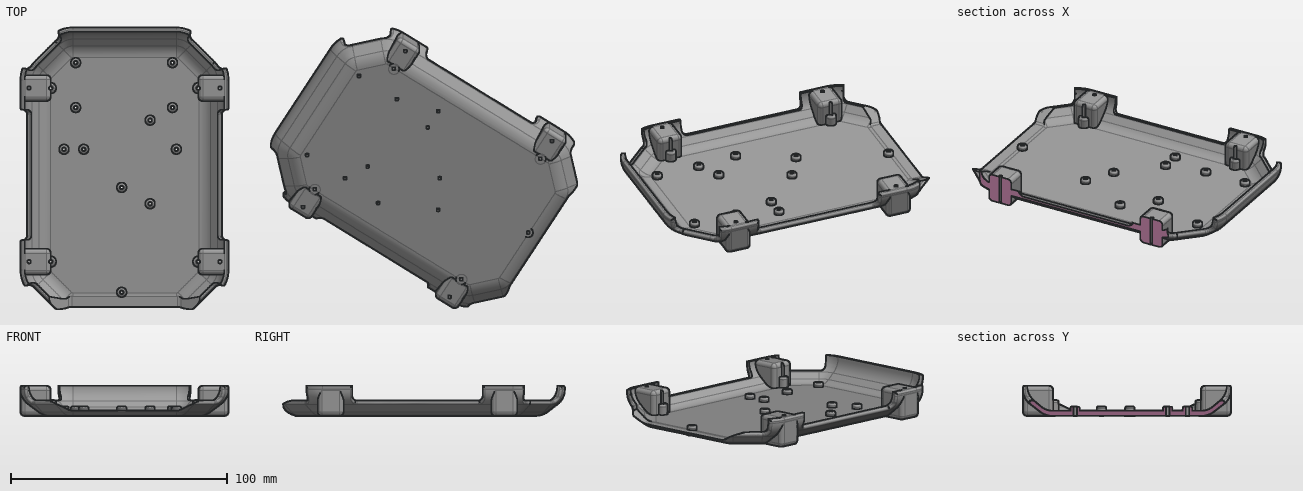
import cadquery as cq
import math

HALF_WIDTH = 48.0
HALF_LENGTH = 68.0
HEIGHT = 14.0
FLOOR_THICKNESS = 2.5
WALL_THICKNESS = 2.0
WALL_REACH = 13.7
OUTER_LOW_RADIUS = 9.5
INNER_LOW_RADIUS = 8.2
OUTER_HIGH_RADIUS = 8.5
INNER_HIGH_RADIUS = 9.1
OUTER_BEND_TOP = 12.25
FLOOR_CORNER_ROUND = 1.0
CORNER_CUT = 9.5

RIM_HEIGHT = 7.2
RIM_ROUND = 1.0
NOTCH_ROUND = 2.0
SIDE_NOTCH_HALF = 30.0
REAR_END_ANGLE = 29.0
REAR_TAB_ANGLE = 23.0
FRONT_TAB_ANGLE = 32.0

FRONT_LIP_HEIGHT = 2.65
FRONT_SILL_HALF = 25.2
FRONT_MOUTH_HALF = 34.7
FRONT_SILL_ROUND = 3.7

POST_X = 44.0
POST_Y = 40.0
POST_INNER_X = 34.0
POST_WIDTH = 12.0
POST_ROUND = 2.0

HOLE_DIAMETER = 1.5
BOSS_DIAMETER = 4.5
BOSS_TOP = 4.5
BOSS_ROUND = 1.0
POST_BOSS_DIAMETER = 5.0
POST_BOSS_TOP = 7.4
BOSS_CENTRES = [
    (-22.5, 51.7), (22.1, 51.7),
    (-22.5, 31.0), (22.1, 31.0),
    (11.8, 25.2),
    (-27.9, 11.8), (-18.8, 11.8), (23.9, 11.8),
    (-1.3, -5.8), (11.8, -13.3), (-1.3, -54.1),
]

CORE_REACH = WALL_REACH + FLOOR_CORNER_ROUND
CORE_X = HALF_WIDTH - CORE_REACH
CORE_Y = HALF_LENGTH - CORE_REACH
CLEAR = 30.0
TOLERANCE = 0.001

SHORT_X = CORE_X - CORNER_CUT
SHORT_Y = CORE_Y - CORNER_CUT
CORE_CORNERS = [
    (SHORT_X, CORE_Y), (-SHORT_X, CORE_Y),
    (-CORE_X, SHORT_Y), (-CORE_X, -SHORT_Y),
    (-SHORT_X, -CORE_Y), (SHORT_X, -CORE_Y),
    (CORE_X, -SHORT_Y), (CORE_X, SHORT_Y),
]
CORNER_TURN = 45.0


def skin_points(level, low_radius, reach, high_radius, bend_top):
    """Arc points of one wall skin: floor bend and upper bend, joined by their common tangent."""
    low_centre = (FLOOR_CORNER_ROUND, level + low_radius)
    high_centre = (reach - high_radius, bend_top)
    run = high_centre[0] - low_centre[0]
    rise = high_centre[1] - low_centre[1]
    slope = math.atan2(rise, run) + math.asin((low_radius - high_radius) / math.hypot(run, rise))

    def on_arc(centre, radius, turn):
        return (centre[0] + radius * math.sin(turn), centre[1] - radius * math.cos(turn))

    upright = math.pi / 2
    low_turns = (0, slope / 2, slope)
    high_turns = (slope, (slope + upright) / 2, upright)
    low = [on_arc(low_centre, low_radius, turn) for turn in low_turns]
    high = [on_arc(high_centre, high_radius, turn) for turn in high_turns]
    return low, high


def wall_profile(plane):
    """Wall section: x runs outward from the core octagon, y runs up."""
    inner_reach = CORE_REACH - WALL_THICKNESS
    outer_low, outer_high = skin_points(
        0, OUTER_LOW_RADIUS, CORE_REACH, OUTER_HIGH_RADIUS, OUTER_BEND_TOP
    )
    inner_low, inner_high = skin_points(
        FLOOR_THICKNESS, INNER_LOW_RADIUS, inner_reach, INNER_HIGH_RADIUS, HEIGHT
    )
    return (
        cq.Workplane(plane)
        .moveTo(0, 0)
        .lineTo(*outer_low[0])
        .threePointArc(*outer_low[1:])
        .lineTo(*outer_high[0])
        .threePointArc(*outer_high[1:])
        .lineTo(CORE_REACH, HEIGHT)
        .lineTo(*inner_high[2])
        .threePointArc(inner_high[1], inner_high[0])
        .lineTo(*inner_low[2])
        .threePointArc(inner_low[1], inner_low[0])
        .lineTo(0, FLOOR_THICKNESS)
        .close()
    )


def full_tray():
    """Floor with a full-height wall: straight runs joined by turned corners."""
    tray = cq.Workplane("XY").polyline(CORE_CORNERS).close().extrude(FLOOR_THICKNESS)
    for index, start in enumerate(CORE_CORNERS):
        end = CORE_CORNERS[(index + 1) % len(CORE_CORNERS)]
        run_x = end[0] - start[0]
        run_y = end[1] - start[1]
        length = math.hypot(run_x, run_y)
        outward = (run_y / length, -run_x / length, 0)
        along = (run_x / length, run_y / length, 0)
        back = (-along[0], -along[1], 0)
        run = wall_profile(cq.Plane((start[0], start[1], 0), outward, back)).extrude(-length)
        corner = wall_profile(cq.Plane((end[0], end[1], 0), outward, back)).revolve(
            CORNER_TURN, (0, 0, 0), (0, 1, 0)
        )
        tray = tray.union(run).union(corner)
    return tray


def past_wall(corner, angle):
    """Point well outside the wall, seen from a core corner at an angle from +X."""
    turn = math.radians(angle)
    return (corner[0] + CLEAR * math.cos(turn), corner[1] + CLEAR * math.sin(turn))


def notch(outline, rounded_sides):
    """Cutter that lowers the wall to rim height; the given outline sides get a rounded foot."""
    cutter = (
        cq.Workplane("XY")
        .workplane(offset=RIM_HEIGHT)
        .polyline(outline)
        .close()
        .extrude(HEIGHT)
    )
    for side in rounded_sides:
        a = outline[side]
        b = outline[(side + 1) % len(outline)]
        middle = ((a[0] + b[0]) / 2, (a[1] + b[1]) / 2, RIM_HEIGHT)
        cutter = cutter.edges(cq.NearestToPointSelector(middle)).fillet(NOTCH_ROUND)
    return cutter


def side_notch():
    outline = [
        (SHORT_X, -SIDE_NOTCH_HALF),
        (CORE_X + CLEAR, -SIDE_NOTCH_HALF),
        (CORE_X + CLEAR, SIDE_NOTCH_HALF),
        (SHORT_X, SIDE_NOTCH_HALF),
    ]
    return notch(outline, [0, 2])


def rear_corner_notch():
    side_corner = (CORE_X, SHORT_Y)
    rear_corner = (SHORT_X, CORE_Y)
    outline = [
        side_corner,
        past_wall(side_corner, REAR_TAB_ANGLE),
        past_wall(rear_corner, 90 - REAR_END_ANGLE),
        rear_corner,
    ]
    return notch(outline, [0, 2])


def front_notch():
    right = (CORE_X, -SHORT_Y)
    left = (-CORE_X, -SHORT_Y)
    far_right = past_wall(right, -FRONT_TAB_ANGLE)
    far_left = past_wall(left, FRONT_TAB_ANGLE - 180)
    front_y = -CORE_Y - CLEAR
    outline = [right, left, far_left, (far_left[0], front_y), (far_right[0], front_y), far_right]
    return notch(outline, [1, 5])


def lower_the_rim(tray):
    for cutter in (side_notch(), rear_corner_notch()):
        tray = tray.cut(cutter).cut(cutter.mirror("YZ"))
    return tray.cut(front_notch())


def core_distance(x, y):
    """Horizontal distance from a point outside the core octagon to its edge."""
    distances = []
    for index, (ax, ay) in enumerate(CORE_CORNERS):
        bx, by = CORE_CORNERS[(index + 1) % len(CORE_CORNERS)]
        length = math.hypot(bx - ax, by - ay)
        along = ((x - ax) * (bx - ax) + (y - ay) * (by - ay)) / length
        along = max(0, min(length, along))
        foot_x = ax + (bx - ax) * along / length
        foot_y = ay + (by - ay) * along / length
        distances.append(math.hypot(x - foot_x, y - foot_y))
    return min(distances)


def outer_reach(level):
    """Horizontal distance from the core octagon to the outer skin within the upper bend or above."""
    drop = max(0, OUTER_BEND_TOP - level)
    return CORE_REACH - OUTER_HIGH_RADIUS + math.sqrt(OUTER_HIGH_RADIUS**2 - drop**2)


def round_outer_rim(tray):
    """Round the outer top edges; the rounding runs on along the tangent ends of the notches."""
    rim_edges = []
    for edge in tray.edges().vals():
        middle = edge.positionAt(0.5)
        on_top = min(abs(middle.z - RIM_HEIGHT), abs(middle.z - HEIGHT)) < TOLERANCE
        if on_top and abs(core_distance(middle.x, middle.y) - outer_reach(middle.z)) < TOLERANCE:
            rim_edges.append(edge)
    return tray.newObject(rim_edges).fillet(RIM_ROUND)


def front_opening():
    """Cutter for the front opening: a flat sill with rounded, sloping cheeks."""
    slope_run = FRONT_MOUTH_HALF - FRONT_SILL_HALF
    slope_rise = RIM_HEIGHT - FRONT_LIP_HEIGHT
    top_half = FRONT_MOUTH_HALF + slope_run
    top = RIM_HEIGHT + slope_rise
    return (
        cq.Workplane("XZ", origin=(0, -SHORT_Y, 0))
        .polyline([
            (-top_half, top),
            (-FRONT_SILL_HALF, FRONT_LIP_HEIGHT),
            (FRONT_SILL_HALF, FRONT_LIP_HEIGHT),
            (top_half, top),
        ])
        .close()
        .extrude(CLEAR)
        .edges("|Y and <Z")
        .fillet(FRONT_SILL_ROUND)
    )


def post():
    """Rear right screw post; its outer face is flush with the upright side wall."""
    width = HALF_WIDTH - POST_INNER_X
    return (
        cq.Workplane("XY")
        .box(width, POST_WIDTH, HEIGHT, centered=(False, True, False))
        .edges()
        .fillet(POST_ROUND)
        .translate((POST_INNER_X, POST_Y, 0))
    )


def boss(centre, diameter, top):
    return (
        cq.Workplane("XY", origin=(*centre, 0))
        .circle(diameter / 2)
        .extrude(top)
        .faces(">Z")
        .edges()
        .fillet(BOSS_ROUND)
    )


def build():
    tray = round_outer_rim(lower_the_rim(full_tray())).cut(front_opening())
    hole_centres = list(BOSS_CENTRES)
    for centre in BOSS_CENTRES:
        tray = tray.union(boss(centre, BOSS_DIAMETER, BOSS_TOP))
    for side in (-1, 1):
        for end in (-1, 1):
            corner_post = post()
            if side < 0:
                corner_post = corner_post.mirror("YZ")
            if end < 0:
                corner_post = corner_post.mirror("XZ")
            boss_centre = (side * POST_INNER_X, end * POST_Y)
            tray = tray.union(corner_post, clean=False).union(
                boss(boss_centre, POST_BOSS_DIAMETER, POST_BOSS_TOP), clean=False
            )
            hole_centres += [boss_centre, (side * POST_X, end * POST_Y)]
    holes = cq.Workplane("XY").pushPoints(hole_centres).circle(HOLE_DIAMETER / 2).extrude(HEIGHT)
    return tray.cut(holes, clean=False)


result = build()